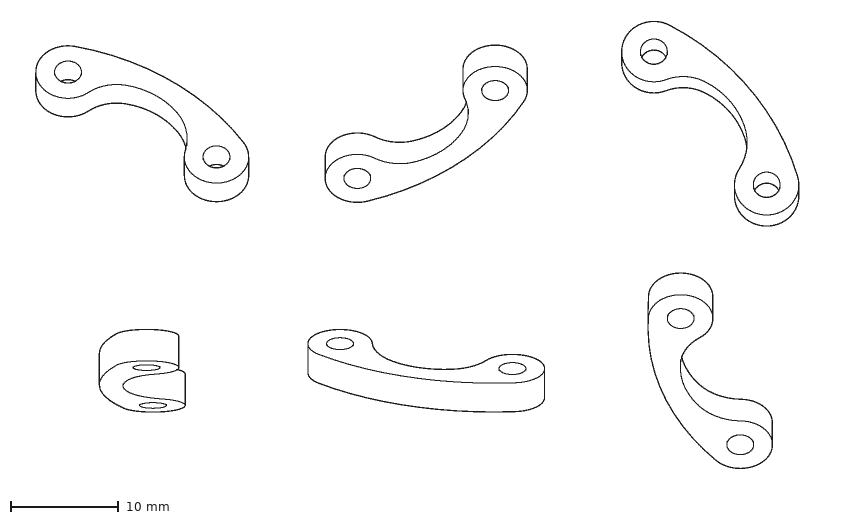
import cadquery as cq
import math

length = 21.13
width = 13.42
thickness = 3.0
eye_radius = 3.0
hole_radius = 1.25

back_radius = 24.93

middle_radius = 7.63
middle_center = (12.75, 2.05)
left_radius = 4.25
right_radius = 5.15

left_eye = (eye_radius, eye_radius)
right_eye = (length - eye_radius, width - eye_radius)


def circle_meeting(center_a, radius_a, center_b, radius_b):
    """Meeting point of two circles, on the left when going from center_a to center_b."""
    dx = center_b[0] - center_a[0]
    dy = center_b[1] - center_a[1]
    distance = math.hypot(dx, dy)
    along = (radius_a**2 - radius_b**2 + distance**2) / (2 * distance)
    aside = math.sqrt(radius_a**2 - along**2)
    x = center_a[0] + (along * dx - aside * dy) / distance
    y = center_a[1] + (along * dy + aside * dx) / distance
    return (x, y)


def point_toward(center, target, radius):
    """Point at a given radius from center, in the direction of target."""
    distance = math.dist(center, target)
    x = center[0] + radius * (target[0] - center[0]) / distance
    y = center[1] + radius * (target[1] - center[1]) / distance
    return (x, y)


def arc_middle(center, radius, start, end):
    """Middle of the shorter arc between two points of a circle."""
    chord_middle = ((start[0] + end[0]) / 2, (start[1] + end[1]) / 2)
    return point_toward(center, chord_middle, radius)


back_reach = back_radius - eye_radius
back_center = circle_meeting(right_eye, back_reach, left_eye, back_reach)
left_center = circle_meeting(
    left_eye, eye_radius + left_radius, middle_center, middle_radius - left_radius
)
right_center = circle_meeting(
    middle_center, middle_radius - right_radius, right_eye, eye_radius + right_radius
)

back_left = point_toward(back_center, left_eye, back_radius)
back_right = point_toward(back_center, right_eye, back_radius)
inner_left = point_toward(left_eye, left_center, eye_radius)
inner_right = point_toward(right_eye, right_center, eye_radius)
middle_left = point_toward(middle_center, left_center, middle_radius)
middle_right = point_toward(middle_center, right_center, middle_radius)

left_eye_bottom = (left_eye[0], left_eye[1] - eye_radius)
right_eye_side = (right_eye[0] + eye_radius, right_eye[1])

body = (
    cq.Workplane("XY")
    .moveTo(*back_left)
    .threePointArc(arc_middle(back_center, back_radius, back_left, back_right), back_right)
    .threePointArc(right_eye_side, inner_right)
    .threePointArc(arc_middle(right_center, right_radius, inner_right, middle_right), middle_right)
    .threePointArc(arc_middle(middle_center, middle_radius, middle_right, middle_left), middle_left)
    .threePointArc(arc_middle(left_center, left_radius, middle_left, inner_left), inner_left)
    .threePointArc(left_eye_bottom, back_left)
    .close()
    .extrude(thickness)
)

holes = (
    cq.Workplane("XY")
    .pushPoints([left_eye, right_eye])
    .circle(hole_radius)
    .extrude(thickness)
)

result = body.cut(holes)